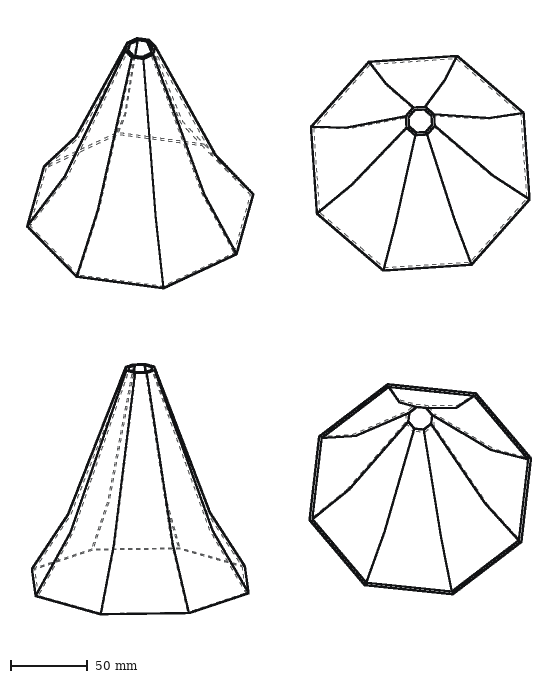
import cadquery as cq

SIDES = 8
BASE_DIAMETER = 150.0
WAIST_DIAMETER = BASE_DIAMETER * 2 / 3
TOP_DIAMETER = WAIST_DIAMETER / 5
HEIGHT = 145.0
WAIST_HEIGHT = 40.0
WALL = 6 / 3


def frustum(bottom_diameter, top_diameter, bottom_z, top_z):
    """Solid octagonal frustum with corners on the X and Y axes."""
    return (
        cq.Workplane("XY", origin=(0, 0, bottom_z))
        .polygon(SIDES, bottom_diameter)
        .workplane(offset=top_z - bottom_z)
        .polygon(SIDES, top_diameter)
        .loft(ruled=True, combine=True)
    )


def flared_body(inset):
    """Wide skirt joined to the steep cone above it, moved inward by the inset."""
    base = BASE_DIAMETER - 2 * inset
    waist = WAIST_DIAMETER - 2 * inset
    top = TOP_DIAMETER - 2 * inset
    skirt = frustum(base, waist, 0, WAIST_HEIGHT)
    cone = frustum(waist, top, WAIST_HEIGHT, HEIGHT)
    return skirt.union(cone)


outer = flared_body(0)
cavity = flared_body(WALL)
result = outer.cut(cavity)